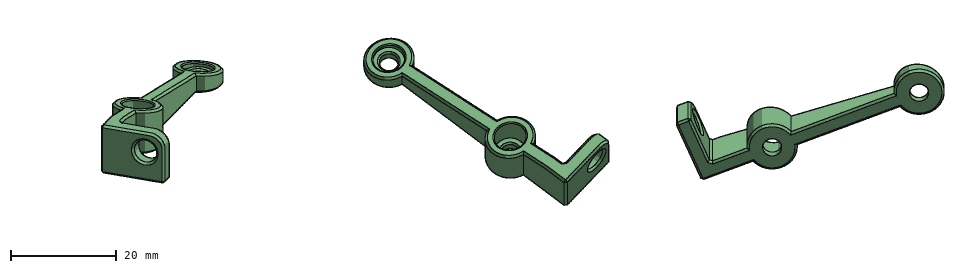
import cadquery as cq
import math

TOLERANCE = 0.005

length = 49.75
height = 10.0
boss_diameter = 9.5
arm_width = 3.0
plate_thickness = 3.0
plate_end_x = 16.25 - boss_diameter / 2
edge_chamfer = 0.45

boss_spacing = 30.0
far_boss_y = length - boss_diameter / 2
boss_positions = [(0, far_boss_y - boss_spacing), (0, far_boss_y)]
screw_hole_diameter = 3.6
screw_hole_chamfer = 0.35
counterbore_diameter = 6.0
counterbore_floor = 2.0
counterbore_chamfer = 0.25

slope_start_y = 5.05
far_height = 2.55

plate_corner_radius = 3.0
plate_hole_diameter = 4.55
plate_hole_chamfer = 0.45
plate_hole_inset = 4.0


def top_height(y):
    """Height of the sloping top at a place along the arm."""
    return height - (height - far_height) * (y - slope_start_y) / (length - slope_start_y)


def make_blank():
    """L-shaped arm and plate with two round bosses, under a sloping top."""
    half_arm = arm_width / 2
    blank = (
        cq.Workplane("XY")
        .moveTo(-half_arm, 0)
        .lineTo(plate_end_x, 0)
        .lineTo(plate_end_x, plate_thickness)
        .lineTo(half_arm + edge_chamfer, plate_thickness)
        .lineTo(half_arm, plate_thickness + edge_chamfer)
        .lineTo(half_arm, far_boss_y)
        .lineTo(-half_arm, far_boss_y)
        .close()
        .extrude(height)
    )
    bosses = cq.Workplane("XY").pushPoints(boss_positions).circle(boss_diameter / 2).extrude(height)
    side_profile = (
        cq.Workplane("YZ")
        .polyline([(0, 0), (length, 0), (length, far_height), (slope_start_y, height), (0, height)])
        .close()
        .extrude(plate_end_x, both=True)
    )
    blank = blank.union(bosses).intersect(side_profile)
    plate_corner = cq.selectors.NearestToPointSelector((plate_end_x, plate_thickness / 2, height))
    return blank.edges(plate_corner).fillet(plate_corner_radius)


def is_upright(edge):
    box = edge.BoundingBox()
    return math.hypot(box.xlen, box.ylen) < TOLERANCE


def is_outer_corner(edge):
    """True for uprights on the plate's outer face or free end, which are all convex."""
    centre = edge.Center()
    return centre.y < TOLERANCE or centre.x > plate_end_x - TOLERANCE


def is_smooth_top_seam(edge):
    """True where the flat top meets the slope or the corner round, and where the round ends."""
    box = edge.BoundingBox()
    centre = edge.Center()
    at_slope = box.ylen < TOLERANCE and abs(centre.y - slope_start_y) < TOLERANCE
    across_plate = box.xlen < TOLERANCE and abs(centre.y - plate_thickness / 2) < TOLERANCE
    beside_round = across_plate and centre.x > plate_end_x - plate_corner_radius - TOLERANCE
    return centre.z > TOLERANCE and (at_slope or beside_round)


def chamfer_outside(body):
    """Chamfer every convex edge; the junctions of arm, bosses and plate stay sharp."""
    convex_edges = [
        edge
        for edge in body.edges().vals()
        if not is_smooth_top_seam(edge) and (not is_upright(edge) or is_outer_corner(edge))
    ]
    return body.newObject(convex_edges).chamfer(edge_chamfer)


def flare_cutter(hole_diameter, chamfer, mouth, outward):
    """Cone that chamfers the mouth of a hole, widening outward to the mouth's centre."""
    hole_radius = hole_diameter / 2
    return cq.Workplane(
        cq.Solid.makeCone(
            hole_radius, hole_radius + chamfer, chamfer, mouth - outward * chamfer, outward
        )
    )


def cut_screw_hole(body, x, y):
    """Cut a through hole with a counterbore, both with chamfered mouths."""
    floor_centre = cq.Vector(x, y, counterbore_floor)
    counterbore = cq.Workplane(origin=floor_centre).circle(counterbore_diameter / 2).extrude(height)
    body = body.cut(counterbore)
    mouth = cq.selectors.NearestToPointSelector((x, y, top_height(y)))
    body = body.edges("%ELLIPSE").edges(mouth).chamfer(counterbore_chamfer)
    hole = cq.Workplane(origin=(x, y, 0)).circle(screw_hole_diameter / 2).extrude(height)
    flare = flare_cutter(screw_hole_diameter, screw_hole_chamfer, floor_centre, cq.Vector(0, 0, 1))
    return body.cut(hole).cut(flare)


def cut_plate_hole(body):
    """Cut the hole through the end plate and chamfer both of its mouths."""
    x = plate_end_x - plate_hole_inset
    z = height - plate_hole_inset
    hole = (
        cq.Workplane("XZ", origin=(x, 0, z))
        .circle(plate_hole_diameter / 2)
        .extrude(-plate_thickness)
    )
    body = body.cut(hole)
    for mouth_y, direction in [(0, -1), (plate_thickness, 1)]:
        mouth = cq.Vector(x, mouth_y, z)
        outward = cq.Vector(0, direction, 0)
        body = body.cut(flare_cutter(plate_hole_diameter, plate_hole_chamfer, mouth, outward))
    return body


result = chamfer_outside(make_blank())
for boss_x, boss_y in boss_positions:
    result = cut_screw_hole(result, boss_x, boss_y)
result = cut_plate_hole(result)